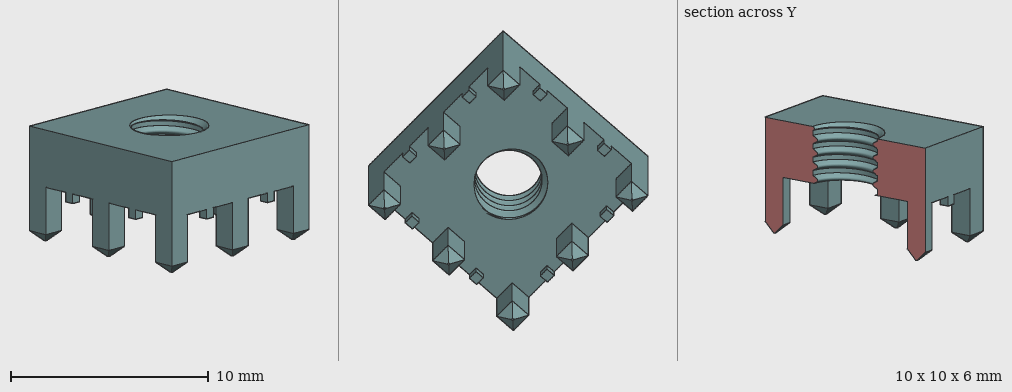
import cadquery as cq
import math

SIDE = 10.0
HEIGHT = 6.0
BLOCK_THICKNESS = 3.0
BLOCK_BOTTOM = HEIGHT - BLOCK_THICKNESS

LEG_WIDTH = 1.15
LEG_TIP_WIDTH = 0.1
LEG_TIP_HEIGHT = (LEG_WIDTH - LEG_TIP_WIDTH) / 2
LEG_SPACING = (SIDE - LEG_WIDTH) / 2

PAD_WIDTH = 0.5
PAD_HEIGHT = 0.5
PAD_EDGE_OFFSET = (SIDE - PAD_WIDTH) / 2
PAD_SIDE_OFFSET = LEG_SPACING / 2

THREAD_MAJOR_RADIUS = 2.0
THREAD_MINOR_RADIUS = 1.71
THREAD_PITCH = 0.7
FLANK_ANGLE = math.radians(30)
CREST_HALF_WIDTH = THREAD_PITCH / 8
CREST_ROUND_RADIUS = CREST_HALF_WIDTH / math.cos(FLANK_ANGLE)
CREST_ROUND_END = THREAD_MINOR_RADIUS + CREST_ROUND_RADIUS * (1 - math.sin(FLANK_ANGLE))
RIDGE_BASE_RADIUS = THREAD_MAJOR_RADIUS + 0.1
THREAD_EXIT_ANGLE = 62.0
TURNS_BELOW_TOP = 5
TURNS_TOTAL = TURNS_BELOW_TOP + 1

COUNTERSINK_DEPTH = THREAD_MAJOR_RADIUS - THREAD_MINOR_RADIUS


def make_leg():
    """One leg centred on the Z axis, reaching from its tip up to the block."""
    shank = (
        cq.Workplane("XY")
        .workplane(offset=LEG_TIP_HEIGHT)
        .rect(LEG_WIDTH, LEG_WIDTH)
        .extrude(BLOCK_BOTTOM - LEG_TIP_HEIGHT)
    )
    tip = (
        cq.Workplane("XY")
        .rect(LEG_TIP_WIDTH, LEG_TIP_WIDTH)
        .workplane(offset=LEG_TIP_HEIGHT)
        .rect(LEG_WIDTH, LEG_WIDTH)
        .loft(ruled=True)
    )
    return shank.union(tip)


def make_pads():
    """Two pads on each of the four sides of the block."""
    along_side = (-PAD_SIDE_OFFSET, PAD_SIDE_OFFSET)
    at_edge = (-PAD_EDGE_OFFSET, PAD_EDGE_OFFSET)
    centres = [(along, edge) for along in along_side for edge in at_edge]
    centres += [(edge, along) for along in along_side for edge in at_edge]
    return (
        cq.Workplane("XY")
        .workplane(offset=BLOCK_BOTTOM - PAD_HEIGHT)
        .pushPoints(centres)
        .rect(PAD_WIDTH, PAD_WIDTH)
        .extrude(PAD_HEIGHT)
    )


def ridge_half_width(radius):
    """Half the axial width of the thread ridge where its flanks are straight."""
    return CREST_HALF_WIDTH + (radius - CREST_ROUND_END) * math.tan(FLANK_ANGLE)


def make_thread_ridge():
    """Helical ridge with a rounded crest, running past both faces of the block."""
    half_base = ridge_half_width(RIDGE_BASE_RADIUS)
    helix = cq.Wire.makeHelix(THREAD_PITCH, TURNS_TOTAL * THREAD_PITCH, THREAD_MAJOR_RADIUS)
    ridge = (
        cq.Workplane("XZ")
        .moveTo(RIDGE_BASE_RADIUS, -half_base)
        .lineTo(CREST_ROUND_END, -CREST_HALF_WIDTH)
        .threePointArc((THREAD_MINOR_RADIUS, 0), (CREST_ROUND_END, CREST_HALF_WIDTH))
        .lineTo(RIDGE_BASE_RADIUS, half_base)
        .close()
        .sweep(cq.Workplane("XY").add(helix), isFrenet=True)
    )
    start_height = HEIGHT - ridge_half_width(THREAD_MAJOR_RADIUS) - TURNS_BELOW_TOP * THREAD_PITCH
    return ridge.rotate((0, 0, 0), (0, 0, 1), THREAD_EXIT_ANGLE).translate((0, 0, start_height))


def make_countersink():
    """Cone opening from the minor to the major thread radius at the top face."""
    return cq.Workplane("XY").add(
        cq.Solid.makeCone(
            THREAD_MINOR_RADIUS,
            THREAD_MAJOR_RADIUS,
            COUNTERSINK_DEPTH,
            pnt=cq.Vector(0, 0, HEIGHT - COUNTERSINK_DEPTH),
        )
    )


def make_threaded_block():
    """Square block with a bore and a thread ridge trimmed by its faces and the countersink."""
    base = cq.Workplane("XY").workplane(offset=BLOCK_BOTTOM)
    solid_block = base.rect(SIDE, SIDE).extrude(BLOCK_THICKNESS)
    bored_block = base.rect(SIDE, SIDE).circle(THREAD_MAJOR_RADIUS).extrude(BLOCK_THICKNESS)
    ridge = make_thread_ridge().intersect(solid_block).cut(make_countersink())
    return bored_block.union(ridge)


result = make_threaded_block()

steps = (-1, 0, 1)
for column in steps:
    for row in steps:
        if (column, row) != (0, 0):
            result = result.union(make_leg().translate((column * LEG_SPACING, row * LEG_SPACING, 0)))

result = result.union(make_pads())